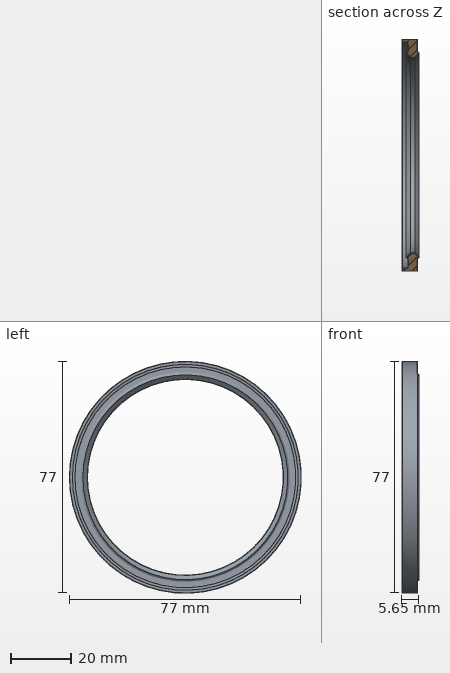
import cadquery as cq
import math

OUTER_DIAMETER = 77.0
FRONT_BORE_DIAMETER = 75.0
THROUGH_BORE_DIAMETER = 65.0
OVERALL_LENGTH = 5.65
FLANGE_LENGTH = 5.0

FLOOR_DEPTH = 2.0
STEP_HEIGHT = 0.1
STEP_RADIUS = 36.65
BORE_FILLET = 0.4
STEP_FILLET = 0.5

RIDGE_RADIUS = 34.0
RIDGE_HEIGHT = 0.7
RIDGE_FILLET = 0.4

BOSS_RIM_RADIUS = 33.95

outer_radius = OUTER_DIAMETER / 2
front_bore_radius = FRONT_BORE_DIAMETER / 2
through_bore_radius = THROUGH_BORE_DIAMETER / 2
outer_floor_depth = FLOOR_DEPTH - STEP_HEIGHT
ridge_depth = FLOOR_DEPTH - RIDGE_HEIGHT
ridge_base_radius = RIDGE_RADIUS + RIDGE_HEIGHT
boss_base_radius = BOSS_RIM_RADIUS + OVERALL_LENGTH - FLANGE_LENGTH
front_cone_length = RIDGE_RADIUS - through_bore_radius
rear_cone_length = BOSS_RIM_RADIUS - through_bore_radius


def add_cove(outline, center_x, center_radius, fillet, start_angle, end_angle):
    """Add a concave fillet arc; angles are in degrees from +X towards larger radius."""
    def point_at(angle):
        turn = math.radians(angle)
        return (center_x + fillet * math.cos(turn), center_radius + fillet * math.sin(turn))

    middle = point_at((start_angle + end_angle) / 2)
    return outline.lineTo(*point_at(start_angle)).threePointArc(middle, point_at(end_angle))


def add_front_recess(outline):
    """Add the filleted front bore and its floor, ending in the fillet at the ridge."""
    outline = add_cove(
        outline, outer_floor_depth - BORE_FILLET, front_bore_radius - BORE_FILLET, BORE_FILLET, 90, 0
    )

    step_angle = math.acos(1 - STEP_HEIGHT / STEP_FILLET)
    step_center_radius = STEP_RADIUS - STEP_FILLET * math.sin(step_angle)
    outline = add_cove(
        outline, FLOOR_DEPTH - STEP_FILLET, step_center_radius, STEP_FILLET, math.degrees(step_angle), 0
    )

    flank_angle = 45
    tangent_length = RIDGE_FILLET * math.tan(math.radians(flank_angle / 2))
    return add_cove(
        outline, FLOOR_DEPTH - RIDGE_FILLET, ridge_base_radius + tangent_length, RIDGE_FILLET, 0, -flank_angle
    )


def add_ridge_and_bore(outline):
    """Add the ridge crest, the front cone, the through bore and the rear cone."""
    return (
        outline.lineTo(ridge_depth, RIDGE_RADIUS)
        .lineTo(ridge_depth + front_cone_length, through_bore_radius)
        .lineTo(OVERALL_LENGTH - rear_cone_length, through_bore_radius)
        .lineTo(OVERALL_LENGTH, BOSS_RIM_RADIUS)
    )


def add_boss_and_flange(outline):
    """Add the outer cone of the rear boss and the plain outside of the flange."""
    return (
        outline.lineTo(FLANGE_LENGTH, boss_base_radius)
        .lineTo(FLANGE_LENGTH, outer_radius)
        .lineTo(0, outer_radius)
    )


section = cq.Workplane("XY").moveTo(0, front_bore_radius)
section = add_front_recess(section)
section = add_ridge_and_bore(section)
section = add_boss_and_flange(section)

result = section.close().revolve(360, (0, 0, 0), (1, 0, 0))